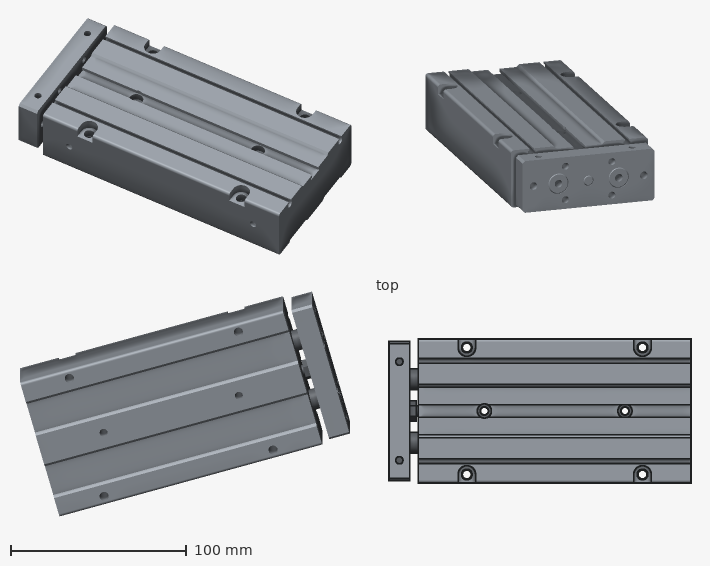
import cadquery as cq
overall_length = 172.0

housing_start = 16.7
housing_width = 82.0
housing_height = 34.0
housing_corner_radius = 1.7
housing_length = overall_length - housing_start
housing_top = housing_height / 2

recess_depth = 1.5
top_recess_half_width = 15.1
bottom_recess_inner = 8.8
bottom_recess_outer = 29.4

slot_neck_width = 7.0
slot_neck_depth = 2.0
slot_channel_width = 9.3
slot_channel_height = 1.0
slot_floor = housing_top - recess_depth - slot_neck_depth - slot_channel_height

sensor_groove_offset = 28.5
sensor_neck_width = 2.5
sensor_neck_depth = 1.2
sensor_channel_width = 4.3
sensor_groove_depth = 4.8

mount_hole_x = (44.4, 144.3)
mount_hole_y = 36.1
mount_hole_diameter = 5.2
mount_hole_mouth_diameter = 6.0
mount_hole_mouth_depth = 5.2
mount_pocket_width = 10.0
mount_pocket_depth = 5.7

lip_cutting_hole_x = 54.4
centre_hole_x = (lip_cutting_hole_x, 134.3)
centre_hole_diameter = 4.5
counterbore_diameter = 8.0
counterbore_depth = 4.3

port_x = (34.0, 155.0)
port_diameter = 4.1
port_depth = 5.2
orifice_diameter = 2.0
orifice_depth = 10.3

plate_thickness = 12.0
plate_width = 79.1
plate_height = 30.8
plate_corner_chamfer = 1.4
tapped_hole_diameter = 4.1
face_hole_y = 14.0
face_hole_z = 10.0
side_hole_diameter = 4.5
side_hole_y = 33.0
top_hole_y = 28.0
top_hole_depth = 8.6

guide_rod_diameter = 12.0
guide_rod_y = 18.0
guide_rod_hole_diameter = 4.5
guide_rod_hole_depth = 5.2
piston_rod_diameter = 6.0
rod_end_chamfer = 0.5
nut_corner_diameter = 11.7
nut_thickness = 3.6


def recess(inner, outer, surface, floor):
    """Full-length recess with 45 degree side walls, running between two Y values."""
    slope = abs(surface - floor)
    points = [(inner, surface), (inner + slope, floor), (outer - slope, floor), (outer, surface)]
    start_plane = cq.Workplane("YZ", origin=(housing_start, 0, 0))
    return start_plane.polyline(points).close().extrude(housing_length)


def x_cylinder(y, z, diameter, start, length):
    return cq.Workplane("YZ", origin=(start, y, z)).circle(diameter / 2).extrude(length)


def x_slot(y, width, floor, height):
    """Full-length rectangular groove with its floor at the given Z."""
    floor_plane = cq.Workplane("XY", origin=(housing_start, y, floor))
    return floor_plane.box(housing_length, width, height, centered=(False, True, False))


def t_slot():
    neck_floor = slot_floor + slot_channel_height
    neck = x_slot(0, slot_neck_width, neck_floor, slot_neck_depth)
    channel = x_slot(0, slot_channel_width, slot_floor, slot_channel_height)
    return neck.union(channel)


def sensor_groove(y):
    neck_floor = housing_top - sensor_neck_depth
    round_centre = housing_top - sensor_groove_depth + sensor_channel_width / 2
    neck = x_slot(y, sensor_neck_width, neck_floor, sensor_neck_depth)
    channel = x_slot(y, sensor_channel_width, round_centre, neck_floor - round_centre)
    round_bottom = x_cylinder(y, round_centre, sensor_channel_width, housing_start, housing_length)
    return neck.union(channel).union(round_bottom)


def z_hole(x, y, diameter):
    """Cutter for a hole through the full housing height."""
    return cq.Workplane("XY", origin=(x, y, -housing_top)).circle(diameter / 2).extrude(housing_height)


def centre_hole(x, top):
    """Through hole with a counterbore reaching from below the slot floor up to the given Z."""
    floor = slot_floor - counterbore_depth
    counterbore = (
        cq.Workplane("XY", origin=(x, 0, floor)).circle(counterbore_diameter / 2).extrude(top - floor)
    )
    return counterbore.union(z_hole(x, 0, centre_hole_diameter))


def mount_pocket(x, side):
    """Round-ended pocket that runs out through the side of the housing."""
    edge_y = side * housing_width / 2
    hole_y = side * mount_hole_y
    floor = cq.Workplane("XY", origin=(0, 0, housing_top - mount_pocket_depth))
    round_end = floor.center(x, hole_y).circle(mount_pocket_width / 2).extrude(mount_pocket_depth)
    run_out = (
        floor.center(x, (hole_y + edge_y) / 2)
        .rect(mount_pocket_width, abs(edge_y - hole_y))
        .extrude(mount_pocket_depth)
    )
    return round_end.union(run_out)


def mount_hole(x, y):
    """Through hole with a slightly wider mouth at the pocket floor."""
    mouth = (
        cq.Workplane("XY", origin=(x, y, housing_top - mount_pocket_depth))
        .circle(mount_hole_mouth_diameter / 2)
        .extrude(-mount_hole_mouth_depth)
    )
    return mouth.union(z_hole(x, y, mount_hole_diameter))


def air_port(x):
    face = cq.Workplane("XZ", origin=(x, -housing_width / 2, 0))
    port = face.circle(port_diameter / 2).extrude(-port_depth)
    orifice = face.circle(orifice_diameter / 2).extrude(-orifice_depth)
    return port.union(orifice)


def make_housing():
    body = (
        cq.Workplane("XY")
        .box(housing_length, housing_width, housing_height, centered=(False, True, True))
        .translate((housing_start, 0, 0))
        .edges("|X")
        .fillet(housing_corner_radius)
    )
    recess_floor = housing_top - recess_depth
    body = body.cut(recess(-top_recess_half_width, top_recess_half_width, housing_top, recess_floor))
    for inner, outer in (
        (bottom_recess_inner, bottom_recess_outer),
        (-bottom_recess_outer, -bottom_recess_inner),
    ):
        body = body.cut(recess(inner, outer, -housing_top, -recess_floor))

    body = body.cut(t_slot())

    for side in (-1, 1):
        body = body.cut(sensor_groove(side * sensor_groove_offset))
        for x in mount_hole_x:
            body = body.cut(mount_pocket(x, side))
            body = body.cut(mount_hole(x, side * mount_hole_y))

    for x in centre_hole_x:
        top = housing_top if x == lip_cutting_hole_x else slot_floor
        body = body.cut(centre_hole(x, top))

    for x in port_x:
        body = body.cut(air_port(x))
    return body


def rod_end_groove(y, diameter):
    """V-shaped ring left where a chamfered rod end sits flush in the plate face."""
    radius = diameter / 2
    section = [(0, y + radius - rod_end_chamfer), (0, y + radius), (rod_end_chamfer, y + radius)]
    return cq.Workplane("XY").polyline(section).close().revolve(360, (0, y, 0), (1, y, 0))


def make_end_plate():
    body = (
        cq.Workplane("XY")
        .box(plate_thickness, plate_width, plate_height, centered=(False, True, True))
        .edges("|X")
        .chamfer(plate_corner_chamfer)
    )
    rod_length = housing_start - plate_thickness
    rods = [
        (-guide_rod_y, guide_rod_diameter),
        (0, piston_rod_diameter),
        (guide_rod_y, guide_rod_diameter),
    ]
    for y, diameter in rods:
        body = body.union(x_cylinder(y, 0, diameter, plate_thickness, rod_length))
        body = body.cut(rod_end_groove(y, diameter))
    nut = (
        cq.Workplane("YZ", origin=(plate_thickness, 0, 0))
        .polygon(6, nut_corner_diameter)
        .extrude(nut_thickness)
    )
    body = body.union(nut)

    for side in (-1, 1):
        rod_hole = x_cylinder(side * guide_rod_y, 0, guide_rod_hole_diameter, 0, guide_rod_hole_depth)
        side_hole = x_cylinder(side * side_hole_y, 0, side_hole_diameter, 0, plate_thickness)
        top_hole = (
            cq.Workplane("XY", origin=(plate_thickness / 2, side * top_hole_y, plate_height / 2))
            .circle(tapped_hole_diameter / 2)
            .extrude(-top_hole_depth)
        )
        body = body.cut(rod_hole).cut(side_hole).cut(top_hole)
        for z in (-face_hole_z, face_hole_z):
            body = body.cut(x_cylinder(side * face_hole_y, z, tapped_hole_diameter, 0, plate_thickness))
    return body


housing = make_housing()
end_plate = make_end_plate()
result = cq.Compound.makeCompound([housing.val(), end_plate.val()])